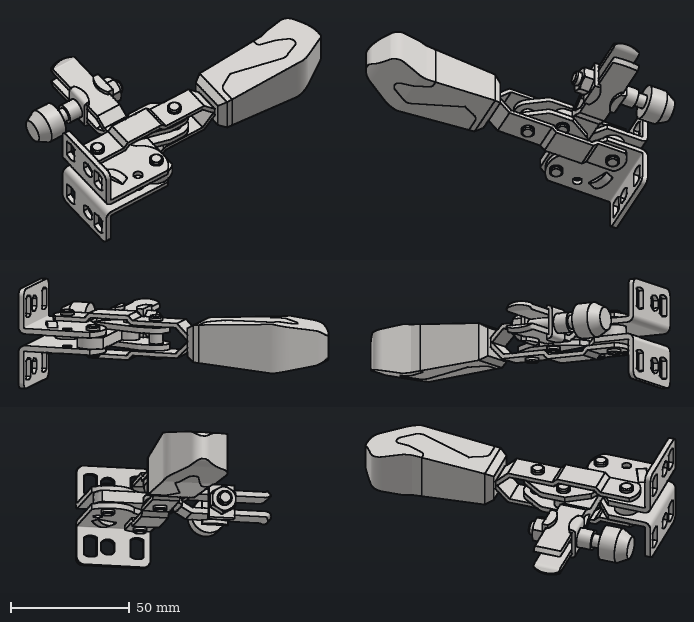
import cadquery as cq
import math


SHEET = 2.5
ARM_HALF = SHEET
PLATE_OUT = ARM_HALF + SHEET
WIDE = 129.5

LEVER_PIVOT = (0, 13.2)
ARM_PIVOT = (17.9, 31.1)
LINK_TOP_PIVOT = (0, 53.1)
LINK_ARM_PIVOT = (-5.7, 39.5)
SHAFT_R = 1.8
HEAD_R = 2.8
HEAD_HEIGHT = 1.7
HEAD_CHAMFER = 0.58

BASE_LEFT = -7.0
BASE_RIGHT = 25.0
FLANGE_REACH = 21.5
FLANGE_CORNER_R = 3.0
BEND_OUT_R = 3.0
BEND_IN_R = BEND_OUT_R - SHEET
SHOULDER_Y = 19.0
CROWN_START = (6.0, 29.0)
CROWN_TOP = (16.2, 35.7)
CROWN_END = (BASE_RIGHT, 32.0)
LEVER_SPACER_R = 5.0
PLATE_HOLE = (19.8, 20.2)
PLATE_HOLE_R = 2.0
TAB_CENTER = (15.2, 11.5)
TAB_LENGTH = 9.8
TAB_WIDTH = 4.1
TAB_HEIGHT = 2.0
TAB_ANGLE = 25
SLOT_Z = 13.5
SLOTS = ((-1.2, 5.7, 9.3), (11.5, 6.0, 6.7), (19.0, 5.7, 9.3))

ARM_BOTTOM = 25.3
ARM_TOP = 36.9
ARM_MID = (ARM_BOTTOM + ARM_TOP) / 2
ARM_REAR = 24.0
ARM_REAR_BOW = 2.5
ARM_GAP_HALF = 3.0
ARM_OUT = ARM_GAP_HALF + SHEET
SPREAD_X = -17.1
SPREAD_ANGLE = 30
LUG_R = 3.9
FLARE_X = -49.1
FLARE_ANGLE = 40
FLARE_BEND_R = 0.97
FLARE_LENGTH = 1.8
FLARE_END_R = 11.7
FLARE_CORNER_R = 0.9

LINK_R = 6.0
LINK_LEFT = -10.9
LINK_SLANT = 55
LINK_SHOULDER_R = 4.5
LINK_HIP_Y = 37.0
LINK_TIP = (-4.7, 27.3)
LINK_TOE = (-0.4, 25.1)
LINK_SPOOL_R = 3.0

LEVER_WIDTH = 11.7
STRAP = 2.0
STRAP_OUT = 7.5
STRAP_WIDE_OUT = 9.6
LEVER_FOOT = 7.4
LEVER_END_R = 8.0
BULGE_LOW = (22.8, 24.9)
BULGE_HIGH = (42.5, 44.5)
STRAP_CLOSE_Y = 64.5
TANG_LENGTH = 32.4

GRIP_FOOT = 69.9
GRIP_TOP = 129.5
GRIP_COLLAR_Y = 73.3
GRIP_COLLAR_HALF_X = 10.1
GRIP_FOOT_HALF_X = 8.2
GRIP_FOOT_HALF_Z = 6.1
GRIP_COLLAR_HALF_Z = 8.0
GRIP_CREST = (109.3, 10.6)
GRIP_CROWN = (125.4, 7.6)
GRIP_CROWN_MID = (127.7, 6.7)
GRIP_TIP_HALF_Z = 4.9
PART_LEFT_Y = 101.5
PART_RIGHT_Y = 75.9

SPINDLE_X = -29.9
ROD_R = 3.0
ROD_TOP = 45.8
ROD_CHAMFER = 0.6
NUT_FLATS = 10.0
NUT_TOP = 43.3
NUT_CHAMFER_HEIGHT = 0.4
NUT_CHAMFER_WIDTH = 0.6
COLLAR_R = 4.3
COLLAR_BOTTOM = 17.4
BUMPER_R = 7.5
BUMPER_TOP = 12.8
BUMPER_CONE_TOP = 5.5
BUMPER_TIP_R = 4.9
BUMPER_TIP = 0.6
WASHER = 1.7
WASHER_WIDTH = 11.0
WASHER_FLAP_EDGE = 0.9
WASHER_FLAP_MID = 2.6


def toward(start, end, distance):
    """Point at a distance from start on the way to end."""
    share = distance / math.dist(start, end)
    return (start[0] + share * (end[0] - start[0]), start[1] + share * (end[1] - start[1]))


def rounded_outline(corners):
    """Closed XY outline through corners (x, y, radius), each rounded by a tangent arc."""
    outline = cq.Workplane("XY")
    count = len(corners)
    for index, (x, y, radius) in enumerate(corners):
        corner = (x, y)
        before = corners[index - 1][:2]
        after = corners[(index + 1) % count][:2]
        if radius == 0:
            stops = [corner]
        else:
            to_before = math.atan2(before[1] - y, before[0] - x)
            to_after = math.atan2(after[1] - y, after[0] - x)
            half_angle = abs(math.remainder(to_after - to_before, 2 * math.pi)) / 2
            tangent = radius / math.tan(half_angle)
            start = toward(corner, before, tangent)
            end = toward(corner, after, tangent)
            chord_middle = ((start[0] + end[0]) / 2, (start[1] + end[1]) / 2)
            middle = toward(corner, chord_middle, radius / math.sin(half_angle) - radius)
            stops = [start, middle, end]
        outline = outline.moveTo(*stops[0]) if index == 0 else outline.lineTo(*stops[0])
        if radius > 0:
            outline = outline.threePointArc(stops[1], stops[2])
    return outline.close()


def cylinder_z(point, radius, z_low, z_high):
    """Cylinder along Z about an XY point."""
    return cq.Workplane("XY", origin=(*point, z_low)).circle(radius).extrude(z_high - z_low)


def both_sides(shape):
    """The shape joined with its mirror image about Z = 0."""
    return shape.union(shape.mirror("XY"))


def pin(point, seat):
    """Rivet whose chamfered heads sit on the faces at Z = -seat and Z = +seat."""
    head = cylinder_z(point, HEAD_R, seat, seat + HEAD_HEIGHT).faces(">Z").chamfer(HEAD_CHAMFER)
    return cylinder_z(point, SHAFT_R, -seat, seat).union(both_sides(head).val())


def pin_hole(point):
    return cylinder_z(point, SHAFT_R, -WIDE, WIDE)


def base_plate():
    """Upper flanged plate."""
    length = BASE_RIGHT - BASE_LEFT
    mid_x = (BASE_LEFT + BASE_RIGHT) / 2
    section = (
        cq.Workplane("YZ", origin=(BASE_LEFT, 0, 0))
        .polyline([(0, ARM_HALF), (WIDE, ARM_HALF), (WIDE, PLATE_OUT), (SHEET, PLATE_OUT),
                   (SHEET, FLANGE_REACH), (0, FLANGE_REACH)])
        .close()
        .extrude(length)
    )
    section = section.edges(cq.selectors.NearestToPointSelector((mid_x, 0, ARM_HALF))).fillet(BEND_OUT_R)
    section = section.edges(cq.selectors.NearestToPointSelector((mid_x, SHEET, PLATE_OUT))).fillet(BEND_IN_R)
    section = section.edges("|Y and >Z").fillet(FLANGE_CORNER_R)
    side = (
        cq.Workplane("XY")
        .moveTo(BASE_LEFT, 0)
        .lineTo(BASE_LEFT, SHOULDER_Y)
        .lineTo(*CROWN_START)
        .threePointArc(CROWN_TOP, CROWN_END)
        .lineTo(BASE_RIGHT, 0)
        .close()
        .extrude(FLANGE_REACH)
    )
    plate = section.intersect(side).cut(cylinder_z(PLATE_HOLE, PLATE_HOLE_R, 0, WIDE))
    for x, width, diameter in SLOTS:
        opening = cq.Workplane("XZ", origin=(x, SHEET, SLOT_Z)).circle(diameter / 2).extrude(SHEET)
        plate = plate.cut(opening.intersect(cq.Workplane("XY").box(width, WIDE, WIDE).translate((x, 0, 0))))
    return plate.union(stop_tab())


def stop_tab():
    """Low arched tab standing on the outer plate face."""
    half = TAB_LENGTH / 2
    tab = (
        cq.Workplane("XZ", origin=(0, TAB_WIDTH / 2, 0))
        .moveTo(-half, 0)
        .threePointArc((0, TAB_HEIGHT), (half, 0))
        .close()
        .extrude(TAB_WIDTH)
    )
    return tab.rotate((0, 0, 0), (0, 0, 1), TAB_ANGLE).translate((*TAB_CENTER, PLATE_OUT))


def make_base():
    spacer = cylinder_z(LEVER_PIVOT, LEVER_SPACER_R, -ARM_HALF, ARM_HALF)
    plates = both_sides(base_plate())
    return spacer.union(plates).union(pin(LEVER_PIVOT, STRAP_OUT)).union(pin(ARM_PIVOT, PLATE_OUT))


def make_arm():
    slope = math.tan(math.radians(SPREAD_ANGLE))
    inner_shift = SHEET * math.tan(math.radians(SPREAD_ANGLE / 2))
    inner_bend = SPREAD_X - inner_shift
    sheet = (
        cq.Workplane("XZ", origin=(0, ARM_TOP, 0))
        .polyline([
            (FLARE_X, ARM_GAP_HALF), (inner_bend, ARM_GAP_HALF), (inner_bend + ARM_GAP_HALF / slope, 0),
            (ARM_REAR, 0), (ARM_REAR, ARM_HALF), (SPREAD_X + (ARM_OUT - ARM_HALF) / slope, ARM_HALF),
            (SPREAD_X, ARM_OUT), (FLARE_X, ARM_OUT),
        ])
        .close()
        .extrude(ARM_TOP - ARM_BOTTOM)
    )
    arm = both_sides(sheet.union(arm_tip()))
    rear_start = ARM_REAR - ARM_REAR_BOW
    outline = (
        cq.Workplane("XY", origin=(0, 0, -WIDE))
        .moveTo(-WIDE, ARM_BOTTOM)
        .lineTo(rear_start, ARM_BOTTOM)
        .threePointArc((ARM_REAR, ARM_MID), (rear_start, ARM_TOP))
        .lineTo(-WIDE, ARM_TOP)
        .close()
        .extrude(2 * WIDE)
    )
    arm = arm.intersect(outline)
    return arm.union(arm_lug()).cut(pin_hole(ARM_PIVOT)).cut(pin_hole(LINK_ARM_PIVOT))


def arm_tip():
    """Tip of the upper sheet, bent outwards, with a bowed end edge."""
    width = ARM_TOP - ARM_BOTTOM
    bend_z = ARM_OUT + FLARE_BEND_R

    def bent_point(radius, degrees, straight=0):
        angle = math.radians(degrees)
        x = FLARE_X - radius * math.sin(angle) - straight * math.cos(angle)
        z = bend_z - radius * math.cos(angle) + straight * math.sin(angle)
        return (x, z)

    inner_r = FLARE_BEND_R + SHEET
    tip = (
        cq.Workplane("XZ", origin=(0, ARM_TOP, 0))
        .moveTo(*bent_point(inner_r, 0))
        .threePointArc(bent_point(inner_r, FLARE_ANGLE / 2), bent_point(inner_r, FLARE_ANGLE))
        .lineTo(*bent_point(inner_r, FLARE_ANGLE, FLARE_LENGTH))
        .lineTo(*bent_point(FLARE_BEND_R, FLARE_ANGLE, FLARE_LENGTH))
        .lineTo(*bent_point(FLARE_BEND_R, FLARE_ANGLE))
        .threePointArc(bent_point(FLARE_BEND_R, FLARE_ANGLE / 2), bent_point(FLARE_BEND_R, 0))
        .close()
        .extrude(width)
    )
    half = width / 2
    bow = FLARE_END_R - math.sqrt(FLARE_END_R**2 - half**2)
    end_edge = (
        cq.Workplane("XY", origin=(0, 0, -WIDE))
        .moveTo(WIDE, -half)
        .lineTo(bow, -half)
        .threePointArc((0, 0), (bow, half))
        .lineTo(WIDE, half)
        .close()
        .extrude(2 * WIDE)
        .edges("|Z").edges("<X")
        .fillet(FLARE_CORNER_R)
    )
    end_x, end_z = bent_point(inner_r, FLARE_ANGLE, FLARE_LENGTH)
    end_edge = end_edge.rotate((0, 0, 0), (0, 1, 0), FLARE_ANGLE).translate((end_x, ARM_MID, end_z))
    return tip.intersect(end_edge)


def arm_lug():
    """Round lug between the link plates, carrying the link rivet."""
    x, y = LINK_ARM_PIVOT
    foot = (
        cq.Workplane("XY", origin=(0, 0, -ARM_HALF))
        .center(x, (y + ARM_MID) / 2)
        .rect(2 * LUG_R, y - ARM_MID)
        .extrude(2 * ARM_HALF)
    )
    return foot.union(cylinder_z(LINK_ARM_PIVOT, LUG_R, -ARM_HALF, ARM_HALF))


def make_link():
    top_x, top_y = LINK_TOP_PIVOT
    right = top_x + LINK_R
    slant = math.radians(LINK_SLANT)
    apex_y = top_y + LINK_R * (1 + math.sin(slant)) / math.cos(slant)
    shoulder_y = apex_y - (right - LINK_LEFT) * math.tan(slant)
    outline = rounded_outline([
        (*LINK_TIP, 0),
        (*LINK_TOE, 0),
        (right, top_y - LINK_R, 0),
        (right, apex_y, LINK_R),
        (LINK_LEFT, shoulder_y, LINK_SHOULDER_R),
        (LINK_LEFT, LINK_HIP_Y, 0),
    ])
    plate = outline.extrude(SHEET).translate((0, 0, ARM_HALF))
    spool = cylinder_z(LINK_TOP_PIVOT, LINK_SPOOL_R, -ARM_HALF, ARM_HALF)
    link = spool.union(both_sides(plate))
    return link.union(pin(LINK_TOP_PIVOT, STRAP_OUT)).union(pin(LINK_ARM_PIVOT, PLATE_OUT))


def make_lever():
    strap_in = STRAP_OUT - STRAP
    wide_in = STRAP_WIDE_OUT - STRAP
    bend_shift = STRAP * math.tan(math.pi / 8)
    tang_half = STRAP
    tang_top = GRIP_FOOT + TANG_LENGTH
    inner_close_y = STRAP_CLOSE_Y - bend_shift
    strap = (
        cq.Workplane("YZ", origin=(-LEVER_WIDTH / 2, 0, 0))
        .polyline([
            (LEVER_FOOT, STRAP_OUT), (BULGE_LOW[0], STRAP_OUT), (BULGE_LOW[1], STRAP_WIDE_OUT),
            (BULGE_HIGH[0], STRAP_WIDE_OUT), (BULGE_HIGH[1], STRAP_OUT), (STRAP_CLOSE_Y, STRAP_OUT),
            (STRAP_CLOSE_Y + STRAP_OUT - tang_half, tang_half), (tang_top, tang_half), (tang_top, 0),
            (inner_close_y + strap_in, 0), (inner_close_y, strap_in),
            (BULGE_HIGH[1] - bend_shift, strap_in),
            (BULGE_HIGH[0] - bend_shift, wide_in), (BULGE_LOW[1] + bend_shift, wide_in),
            (BULGE_LOW[0] + bend_shift, strap_in), (LEVER_FOOT, strap_in),
        ])
        .close()
        .extrude(LEVER_WIDTH)
    )
    half = LEVER_WIDTH / 2
    end_rise = LEVER_END_R - math.sqrt(LEVER_END_R**2 - half**2)
    foot_outline = (
        cq.Workplane("XY", origin=(0, 0, -WIDE))
        .moveTo(-half, WIDE)
        .lineTo(-half, LEVER_FOOT + end_rise)
        .threePointArc((0, LEVER_FOOT), (half, LEVER_FOOT + end_rise))
        .lineTo(half, WIDE)
        .close()
        .extrude(2 * WIDE)
    )
    lever = both_sides(strap).intersect(foot_outline)
    return lever.cut(pin_hole(LEVER_PIVOT)).cut(pin_hole(LINK_TOP_PIVOT))


def grip_block():
    """Whole grip, before it is parted and hollowed for the tang."""
    outline = rounded_outline([
        (GRIP_FOOT_HALF_X, GRIP_FOOT, 0),
        (GRIP_COLLAR_HALF_X, GRIP_COLLAR_Y, 0),
        (11.3, 112.5, 14.2),
        (-0.3, 131.7, 5.3),
        (-15.4, 121.7, 5.2),
        (-10.6, 105.9, 0),
        (-GRIP_COLLAR_HALF_X, GRIP_COLLAR_Y, 0),
        (-GRIP_FOOT_HALF_X, GRIP_FOOT, 0),
    ])
    front = outline.extrude(WIDE, both=True)
    profile = (
        cq.Workplane("YZ", origin=(-WIDE, 0, 0))
        .moveTo(GRIP_FOOT, GRIP_FOOT_HALF_Z)
        .lineTo(GRIP_COLLAR_Y, GRIP_COLLAR_HALF_Z)
        .lineTo(*GRIP_CREST)
        .lineTo(*GRIP_CROWN)
        .threePointArc(GRIP_CROWN_MID, (GRIP_TOP, GRIP_TIP_HALF_Z))
        .lineTo(GRIP_TOP, 0)
        .lineTo(GRIP_FOOT, 0)
        .close()
        .extrude(2 * WIDE)
    )
    return front.intersect(both_sides(profile))


def grip_head_region():
    """Everything above the S-shaped parting line of the grip."""
    outline = rounded_outline([
        (-WIDE, PART_LEFT_Y, 0),
        (-7.4, PART_LEFT_Y, 2.1),
        (-1.4, 119.9, 2.5),
        (5.5, 107.1, 3.9),
        (-1.8, 83.4, 0),
        (2.3, PART_RIGHT_Y, 3.2),
        (WIDE, PART_RIGHT_Y, 0),
        (WIDE, 2 * WIDE, 0),
        (-WIDE, 2 * WIDE, 0),
    ])
    return outline.extrude(WIDE, both=True)


def make_grip_head(lever):
    return grip_block().intersect(grip_head_region()).cut(lever)


def make_grip_foot(lever):
    return grip_block().cut(grip_head_region()).cut(lever)


def turned_y(radius, y_low, y_high):
    """Cylinder along Y about the spindle axis."""
    disc = cq.Workplane("XZ", origin=(SPINDLE_X, y_high, 0)).circle(radius)
    return disc.extrude(y_high - y_low)


def flanged_washer(arm_edge, outward, bend_radius):
    """Plate across an arm edge with a flap over each outer arm face."""
    half = WASHER_WIDTH / 2
    outer_z = ARM_OUT + WASHER
    outer_y = arm_edge + outward * WASHER
    mid_y = arm_edge - outward * WASHER_FLAP_MID
    side_y = arm_edge - outward * WASHER_FLAP_EDGE
    block = (
        cq.Workplane("XY", origin=(SPINDLE_X, 0, -outer_z))
        .moveTo(-half, outer_y)
        .lineTo(half, outer_y)
        .lineTo(half, side_y)
        .threePointArc((0, mid_y), (-half, side_y))
        .close()
        .extrude(2 * outer_z)
    )
    if bend_radius > 0:
        block = block.edges("|X").edges(">Y" if outward > 0 else "<Y").fillet(bend_radius)
    recess = cq.Workplane("XY").box(WIDE, 2 * WASHER_FLAP_MID, 2 * ARM_OUT)
    return block.cut(recess.translate((SPINDLE_X, arm_edge - outward * WASHER_FLAP_MID, 0)))


def hex_nut(seat):
    height = NUT_TOP - seat
    corner_diameter = NUT_FLATS / math.cos(math.pi / 6)
    nut = (
        cq.Workplane("XZ", origin=(SPINDLE_X, NUT_TOP, 0))
        .transformed(rotate=(0, 0, 90))
        .polygon(6, corner_diameter)
        .extrude(height)
    )
    crown = turned_y(corner_diameter / 2, seat, NUT_TOP)
    crown = crown.faces(">Y").chamfer(NUT_CHAMFER_HEIGHT, NUT_CHAMFER_WIDTH)
    return nut.intersect(crown)


def make_spindle():
    lower_seat = ARM_BOTTOM - WASHER
    upper_seat = ARM_TOP + WASHER
    rod = turned_y(ROD_R, BUMPER_TOP, ROD_TOP).faces(">Y").chamfer(ROD_CHAMFER)
    bumper = turned_y(BUMPER_R, BUMPER_TIP, BUMPER_TOP)
    bumper = bumper.faces("<Y").chamfer(BUMPER_CONE_TOP - BUMPER_TIP, BUMPER_R - BUMPER_TIP_R)
    spindle = rod.union(bumper).union(turned_y(COLLAR_R, COLLAR_BOTTOM, lower_seat))
    spindle = spindle.union(flanged_washer(ARM_BOTTOM, -1, WASHER))
    spindle = spindle.union(flanged_washer(ARM_TOP, 1, 0))
    return spindle.union(hex_nut(upper_seat))


base = make_base()
arm = make_arm()
link = make_link()
lever = make_lever()
grip_head = make_grip_head(lever)
grip_foot = make_grip_foot(lever)
spindle = make_spindle()

result = cq.Compound.makeCompound([
    base.val(),
    arm.val(),
    link.val(),
    lever.val(),
    grip_head.val(),
    grip_foot.val(),
    spindle.val(),
])